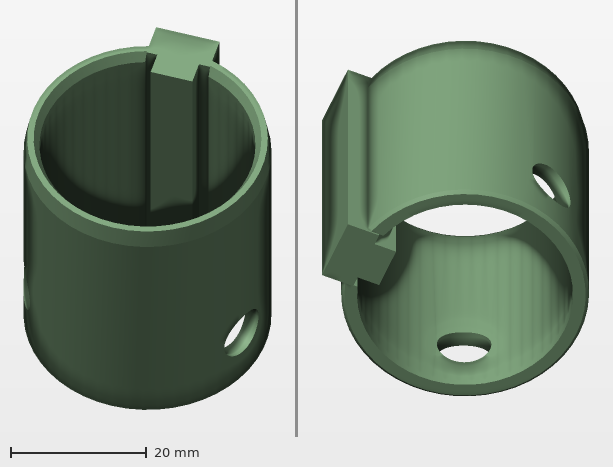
import cadquery as cq

height = 41.3
sleeve_bottom = 0.3
outer_radius = 18.25
inner_radius = 15.9
top_taper_width = 0.55
top_taper_height = 2.95
mouth_chamfer_width = 0.85
mouth_chamfer_height = 1.5
bottom_chamfer = 0.5

hole_diameter = 8.0
hole_z = 10.3
hole_angle = 22.5

key_outer_y = 20.8
key_head_width = 9.75
key_head_depth = 5.0
key_stem_width = 6.4
key_depth = 8.42


def make_sleeve_tube():
    """Revolve the wall section, with its taper and chamfers, about Z."""
    wall_section = [
        (inner_radius, sleeve_bottom),
        (outer_radius - bottom_chamfer, sleeve_bottom),
        (outer_radius, sleeve_bottom + bottom_chamfer),
        (outer_radius, height - top_taper_height),
        (outer_radius - top_taper_width, height),
        (inner_radius + mouth_chamfer_width, height),
        (inner_radius, height - mouth_chamfer_height),
    ]
    return cq.Workplane("XZ").polyline(wall_section).close().revolve(360, (0, 0), (0, 1))


def make_key_slot():
    """Full-height cutter, as wide as the key head, through the +Y wall."""
    return cq.Workplane("XY").box(key_head_width, key_outer_y, height, centered=(True, False, False))


def make_hole(angle):
    """Cutter from the sleeve axis outward, at the given angle from +X."""
    return (
        cq.Workplane("YZ")
        .center(0, hole_z)
        .circle(hole_diameter / 2)
        .extrude(key_outer_y)
        .rotate((0, 0, 0), (0, 0, 1), angle)
    )


def make_sleeve():
    sleeve = make_sleeve_tube().cut(make_key_slot())
    for angle in (-hole_angle, 180 + hole_angle):
        sleeve = sleeve.cut(make_hole(angle))
    return sleeve


def make_key():
    """Extrude the T section, head outward and stem toward the sleeve axis."""
    head_half = key_head_width / 2
    stem_half = key_stem_width / 2
    step_y = key_outer_y - key_head_depth
    stem_y = key_outer_y - key_depth
    t_section = [
        (-head_half, key_outer_y),
        (head_half, key_outer_y),
        (head_half, step_y),
        (stem_half, step_y),
        (stem_half, stem_y),
        (-stem_half, stem_y),
        (-stem_half, step_y),
        (-head_half, step_y),
    ]
    return cq.Workplane("XY").polyline(t_section).close().extrude(height)


sleeve = make_sleeve()
key = make_key()
result = cq.Compound.makeCompound([sleeve.val(), key.val()])